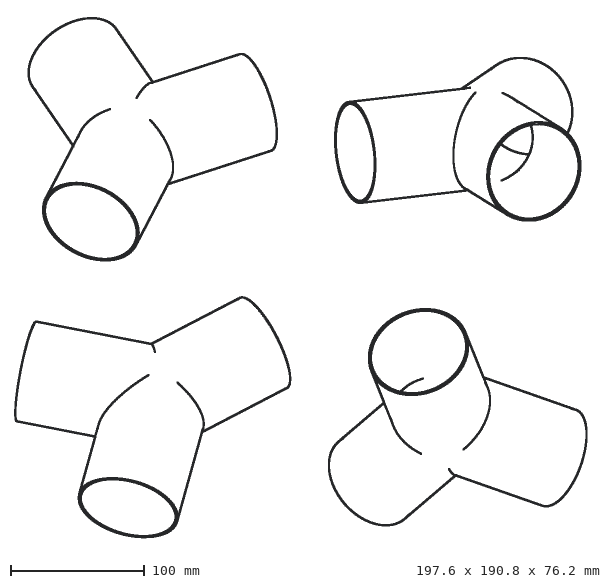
import cadquery as cq
import math

outer_diameter = 76.2
wall_thickness = 1.65
outer_radius = outer_diameter / 2
inner_radius = outer_radius - wall_thickness

branch_angle = 45.0
branch_length = 101.6
stem_side_length = 76.2
mitre_drop = outer_radius * math.tan(math.radians(branch_angle / 2))
stem_length = stem_side_length + mitre_drop


def cylinder_from_junction(radius, length, direction):
    return cq.Workplane(cq.Solid.makeCylinder(radius, length, cq.Vector(0, 0, 0), direction))


def wye(radius):
    """Solid Y of three cylinders with equal radius, starting at the junction."""
    body = cylinder_from_junction(radius, stem_length, cq.Vector(0, -1, 0))
    lean = math.radians(branch_angle)
    for side in (-1, 1):
        direction = cq.Vector(side * math.sin(lean), math.cos(lean), 0)
        body = body.union(cylinder_from_junction(radius, branch_length, direction))
    return body


result = wye(outer_radius).cut(wye(inner_radius))